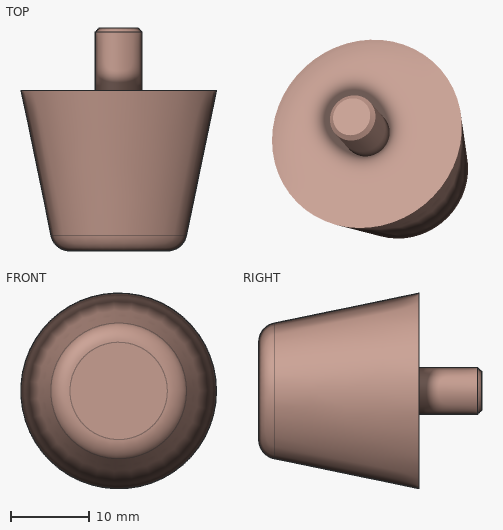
import cadquery as cq
import math


base_radius = 12.5
bumper_length = 20.5
nose_flat_radius = 6.22
nose_fillet = 2.5

stud_diameter = 6.0
stud_length = 8.0
stud_chamfer = 0.55

arc_center_y = -bumper_length + nose_fillet
center_distance = math.hypot(base_radius - nose_flat_radius, arc_center_y)
line_to_base = math.atan2(-arc_center_y, base_radius - nose_flat_radius)
tangent_angle = line_to_base - math.acos(nose_fillet / center_distance)
nose_end_angle = -math.pi / 2


def nose_arc_point(angle):
    """Point of the nose arc as (radius, Y) at the given angle."""
    return (
        nose_flat_radius + nose_fillet * math.cos(angle),
        arc_center_y + nose_fillet * math.sin(angle),
    )


def make_bumper():
    """Revolve the half outline of the bumper about the Y axis."""
    middle_angle = (tangent_angle + nose_end_angle) / 2
    return (
        cq.Workplane("XY")
        .lineTo(base_radius, 0)
        .lineTo(*nose_arc_point(tangent_angle))
        .threePointArc(nose_arc_point(middle_angle), nose_arc_point(nose_end_angle))
        .lineTo(0, -bumper_length)
        .close()
        .revolve(360, (0, 0, 0), (0, 1, 0))
    )


def make_stud():
    """Stud standing on the mounting face, chamfered at its free end."""
    return (
        cq.Workplane("XZ")
        .circle(stud_diameter / 2)
        .extrude(-stud_length)
        .faces(">Y")
        .chamfer(stud_chamfer)
    )


bumper = make_bumper()
stud = make_stud()

result = cq.Compound.makeCompound([bumper.val(), stud.val()])